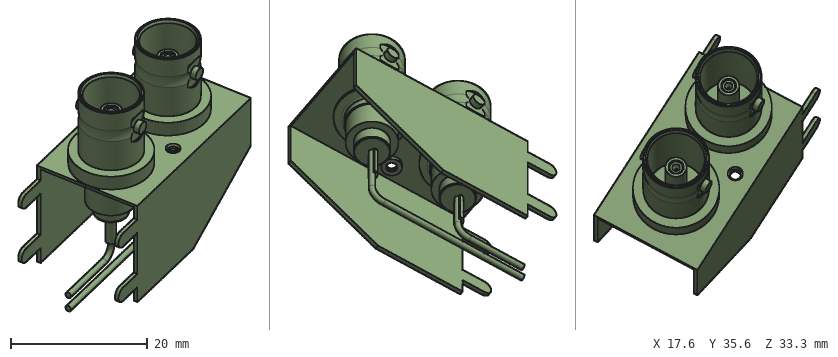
import cadquery as cq


bracket_width = 17.6
bracket_length = 30.5
bracket_height = 17.98
plate_thickness = 0.5
wall_thickness = 0.65
rear_wall_height = 8.9
bottom_edge_length = 15.02

tab_length = 5.1
tab_width = 2.53
tab_depths = (3.8, 13.95)

screw_offset_x = 5.73
screw_y = 14.28
screw_boss_radius = 1.53
screw_boss_height = 0.65
thread_minor_radius = 0.82
thread_major_radius = 1.0
thread_pitch = 0.4
thread_turns = 2
countersink_radius = 1.1

front_connector_y = 6.45
connector_spacing = 15.25
front_wire_depth = 17.12
wire_spacing = 2.5
connectors = (
    (front_connector_y, front_wire_depth),
    (front_connector_y + connector_spacing, front_wire_depth + wire_spacing),
)

flange_radius = 6.35
flange_height = 2.42
barrel_radius = 9.72 / 2
barrel_top = 13.17
rim_chamfer = 0.15
groove_z = 8.85
groove_width = 2.0
groove_depth = 0.15

bore_rim_radius = 4.45
lead_in_radius = 4.2
bore_floor_radius = 4.05
lead_in_depth = 0.45
bore_floor_z = flange_height

sleeve_radius = 1.55
sleeve_top = barrel_top - 3.25
sleeve_hole_radius = 1.1
sleeve_hole_depth = 1.07
contact_radius = 0.95
contact_recess = 0.18
contact_mouth_radius = 0.57
contact_tip_radius = 0.15
contact_hole_depth = 0.7

lug_radius = 1.0
lug_reach = 5.52
flat_offset = 9.15 / 2
flat_radius = 4.88 / 2

washer_radius = 5.65
washer_bottom = -0.85
washer_cone_radius = 4.52
washer_cone_bottom = -1.1
nut_radius = 4.1
nut_top = -1.35
nut_bottom = -2.53
body_radius = 3.88
body_bottom = -6.8
tail_radius = 2.7
tail_bottom = -9.1
tail_chamfer_height = 0.25
tail_chamfer_width = 0.1

post_radius = 0.85
post_flat_offset = 0.125
post_bottom = -14.52
wire_radius = 0.5
wire_bend_radius = 1.95


def make_side_wall(outer_x):
    """Side wall with a sloped rear corner and two round-ended tabs, starting at outer_x."""
    wall = (
        cq.Workplane("YZ", origin=(outer_x, 0, 0))
        .polyline([
            (0, 0),
            (bracket_length, 0),
            (bracket_length, -rear_wall_height),
            (bottom_edge_length, -bracket_height),
            (0, -bracket_height),
        ])
        .close()
        .extrude(wall_thickness)
    )
    tab_radius = tab_width / 2
    for depth in tab_depths:
        tab = (
            cq.Workplane("YZ", origin=(outer_x, 0, -depth))
            .moveTo(wall_thickness, -tab_radius)
            .lineTo(-tab_length + tab_radius, -tab_radius)
            .threePointArc((-tab_length, 0), (-tab_length + tab_radius, tab_radius))
            .lineTo(wall_thickness, tab_radius)
            .close()
            .extrude(wall_thickness)
        )
        wall = wall.union(tab)
    return wall


def make_screw_hole(x):
    """Cutter for one mounting hole: countersink, minor bore and ring-shaped thread grooves."""
    hole_depth = plate_thickness + screw_boss_height
    countersink_depth = countersink_radius - thread_minor_radius
    profile = (
        cq.Workplane("XZ")
        .moveTo(0, 0)
        .lineTo(countersink_radius, 0)
        .lineTo(thread_minor_radius, -countersink_depth)
    )
    for turn in range(thread_turns):
        groove_top = -countersink_depth - turn * thread_pitch
        profile = (
            profile
            .lineTo(thread_major_radius, groove_top - thread_pitch / 2)
            .lineTo(thread_minor_radius, groove_top - thread_pitch)
        )
    cutter = profile.lineTo(thread_minor_radius, -hole_depth).lineTo(0, -hole_depth).close().revolve()
    return cutter.translate((x, screw_y, 0))


def make_bracket():
    """Top plate, two side walls and the threaded mounting holes."""
    bracket = (
        cq.Workplane("XY")
        .box(bracket_width, bracket_length, plate_thickness, centered=(True, False, False))
        .translate((0, 0, -plate_thickness))
    )
    for outer_x in (-bracket_width / 2, bracket_width / 2 - wall_thickness):
        bracket = bracket.union(make_side_wall(outer_x))
    for x in (-screw_offset_x, screw_offset_x):
        boss = (
            cq.Workplane("XY", origin=(x, screw_y, -plate_thickness))
            .circle(screw_boss_radius)
            .extrude(-screw_boss_height)
        )
        bracket = bracket.union(boss).cut(make_screw_hole(x))
    return bracket


def make_turned_body():
    """Solid of revolution from the rim of the barrel down to the tail, with its bore."""
    groove_half = groove_width / 2
    return (
        cq.Workplane("XZ")
        .moveTo(0, bore_floor_z)
        .lineTo(bore_floor_radius, bore_floor_z)
        .lineTo(lead_in_radius, barrel_top - lead_in_depth)
        .lineTo(bore_rim_radius, barrel_top)
        .lineTo(barrel_radius - rim_chamfer, barrel_top)
        .lineTo(barrel_radius, barrel_top - rim_chamfer)
        .lineTo(barrel_radius, groove_z + groove_half)
        .threePointArc((barrel_radius - groove_depth, groove_z), (barrel_radius, groove_z - groove_half))
        .lineTo(barrel_radius, flange_height)
        .lineTo(flange_radius, flange_height)
        .lineTo(flange_radius, 0)
        .lineTo(washer_radius, 0)
        .lineTo(washer_radius, washer_bottom)
        .lineTo(washer_cone_radius, washer_cone_bottom)
        .lineTo(nut_radius, nut_top)
        .lineTo(nut_radius, nut_bottom)
        .lineTo(body_radius, nut_bottom)
        .lineTo(body_radius, body_bottom)
        .lineTo(tail_radius, body_bottom)
        .lineTo(tail_radius, tail_bottom + tail_chamfer_height)
        .lineTo(tail_radius - tail_chamfer_width, tail_bottom)
        .lineTo(0, tail_bottom)
        .close()
        .revolve()
    )


def make_contact():
    """Insulating sleeve in the bore with a recessed contact that has a conical mouth."""
    contact_top = sleeve_top - contact_recess
    return (
        cq.Workplane("XZ")
        .moveTo(0, bore_floor_z)
        .lineTo(sleeve_radius, bore_floor_z)
        .lineTo(sleeve_radius, sleeve_top)
        .lineTo(sleeve_hole_radius, sleeve_top)
        .lineTo(sleeve_hole_radius, sleeve_top - sleeve_hole_depth)
        .lineTo(contact_radius, sleeve_top - sleeve_hole_depth)
        .lineTo(contact_radius, contact_top)
        .lineTo(contact_mouth_radius, contact_top)
        .lineTo(contact_tip_radius, contact_top - contact_hole_depth)
        .lineTo(0, contact_top - contact_hole_depth)
        .close()
        .revolve()
    )


def add_bayonet_lugs(body):
    """Cut a round flat on each side of the barrel and place a lug in its middle."""
    for side in (-1, 1):
        flat = (
            cq.Workplane("YZ", origin=(side * flat_offset, 0, groove_z))
            .circle(flat_radius)
            .extrude(side * (lug_reach - flat_offset))
        )
        lug_root = (lead_in_radius + flat_offset) / 2
        lug = (
            cq.Workplane("YZ", origin=(side * lug_root, 0, groove_z))
            .circle(lug_radius)
            .extrude(side * (lug_reach - lug_root))
        )
        body = body.cut(flat).union(lug)
    return body


def make_post():
    """Half-round post under the tail, flat on its rear side."""
    height = tail_bottom - post_bottom
    post = cq.Workplane("XY", origin=(0, 0, post_bottom)).circle(post_radius).extrude(height)
    rear_side = (
        cq.Workplane("XY", origin=(0, post_flat_offset, post_bottom))
        .rect(2 * post_radius, 2 * post_radius)
        .extrude(height)
        .translate((0, post_radius, 0))
    )
    return post.cut(rear_side)


def make_wire(connector_y, wire_depth):
    """Wire lead that drops from the tail and bends forward to the ends of the tabs."""
    bend_start_z = wire_bend_radius - wire_depth
    wire_end_y = -tab_length - connector_y
    drop = (
        cq.Workplane("XY", origin=(0, 0, bend_start_z))
        .circle(wire_radius)
        .extrude(tail_bottom - bend_start_z)
    )
    bend = (
        cq.Workplane("XY", origin=(0, 0, bend_start_z))
        .circle(wire_radius)
        .revolve(90, (0, -wire_bend_radius, 0), (-1, -wire_bend_radius, 0))
    )
    lead = (
        cq.Workplane("XZ", origin=(0, -wire_bend_radius, -wire_depth))
        .circle(wire_radius)
        .extrude(-wire_bend_radius - wire_end_y)
    )
    return drop.union(bend).union(lead)


def make_connector(connector_y, wire_depth):
    """Complete connector with its axis at connector_y."""
    body = add_bayonet_lugs(make_turned_body()).union(make_contact())
    body = body.union(make_post()).union(make_wire(connector_y, wire_depth))
    return body.translate((0, connector_y, 0))


result = make_bracket()
for y, depth in connectors:
    result = result.union(make_connector(y, depth))